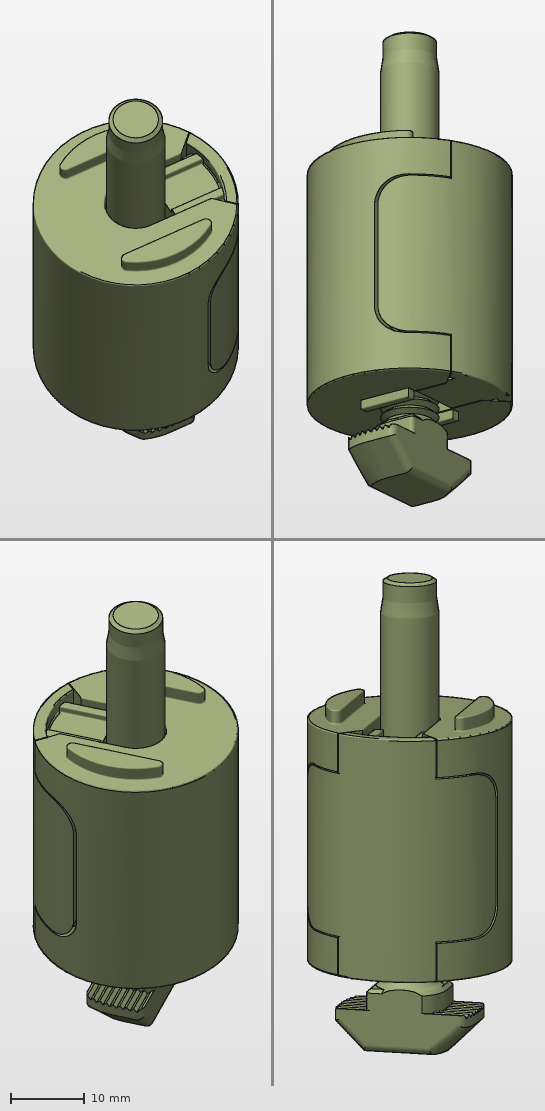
import cadquery as cq
import math


drum_radius = 14.0
drum_height = 34.0
edge_round = 0.2

slot_half_width = 4.2
flare_start = 5.1

pad_inner_x = 8.0
pad_outer_radius = 11.5
pad_corner_radius = 0.8
pad_height = 2.0

window_start_y = 3.95
window_height = 23.2
window_corner_radius = 4.3
window_gap = 0.2
wing_end_gap = 0.45

shell_inner_radius = 12.2
mouth_gap = 0.2
tongue_end_y = 4.15
tongue_half_width = 4.0
tongue_drop = 1.9
tongue_root_half_width = 4.8
rib_height = 0.9
rib_inner_x = 2.6
rib_outer_x = tongue_half_width

bar_center_x = 5.1
bar_width = 1.25
bar_length = 8.0
bar_height = 1.4

shank_radius = 4.0
bolt_top = 53.5
tip_radius = 3.7
tip_length = 2.75
tip_taper = 2.05
tip_chamfer_height = 0.4
tip_chamfer_width = 0.6

thread_root_radius = 3.2
thread_pitch = 1.25
thread_lowest_peak = -1.7
thread_peaks = 3

neck_bottom = -3.4
neck_top = -3.1
shoulder_radius = 5.1
shoulder_chamfer = 0.5
shoulder_corner_round = 0.6
head_half_depth = 4.3
head_half_length = 9.6
head_top = -6.4
overall_height = 65.75
head_bottom = bolt_top - overall_height
head_side_height = 1.8
head_bevel = 4.15
head_edge_round = 1.0
tooth_pitch = 1.0
teeth = 8
tooth_depth = tooth_pitch / 2
shoulder_bottom = head_top - tooth_depth

pick = 0.05


def box(x0, x1, y0, y1, z0, z1):
    return cq.Workplane("XY").box(x1 - x0, y1 - y0, z1 - z0, centered=False).translate((x0, y0, z0))


def make_drum():
    drum = cq.Workplane("XY").circle(drum_radius).extrude(drum_height)
    return drum.edges("%CIRCLE").fillet(edge_round)


def make_flare(offset):
    """Wedge of the space on the +Y side of both 45 degree flare planes, moved by offset along Y."""
    reach = 2 * drum_radius
    apex_y = flare_start + offset
    corners = [(0, apex_y), (reach, apex_y + reach), (-reach, apex_y + reach)]
    return cq.Workplane("XY").polyline(corners).close().extrude(drum_height)


def make_ring(inner_radius):
    """Everything outside a cylinder around the bolt axis."""
    return cq.Workplane("XY").circle(2 * drum_radius).circle(inner_radius).extrude(drum_height)


def make_window(end_y, height, corner_radius):
    """Round-cornered block along X that bounds the wings, or the window around them."""
    block = box(-drum_radius, drum_radius, end_y, end_y + 2 * drum_radius, 0, height)
    block = block.edges("|X and <Y").fillet(corner_radius)
    return block.translate((0, 0, (drum_height - height) / 2))


def make_pad(side):
    corner_y = math.sqrt(pad_outer_radius**2 - pad_inner_x**2)
    pad = (
        cq.Workplane("XY")
        .moveTo(side * pad_inner_x, -corner_y)
        .threePointArc((side * pad_outer_radius, 0), (side * pad_inner_x, corner_y))
        .close()
        .extrude(pad_height)
        .edges("|Z")
        .fillet(pad_corner_radius)
        .faces(">Z")
        .edges()
        .fillet(edge_round)
    )
    return pad.translate((0, 0, drum_height))


def make_housing():
    slot = cq.Workplane("XY").circle(slot_half_width).extrude(drum_height)
    slot = slot.union(box(-slot_half_width, slot_half_width, 0, drum_radius, 0, drum_height))
    slot = slot.union(make_flare(0))
    window = make_window(window_start_y, window_height, window_corner_radius)
    window = window.intersect(make_ring(shell_inner_radius - window_gap))

    housing = make_drum().cut(slot)
    rim = cq.selectors.BoxSelector(
        (-slot_half_width - pick, -slot_half_width - pick, drum_height - pick),
        (slot_half_width + pick, drum_radius / 2, drum_height + pick),
    )
    housing = housing.edges(rim).fillet(edge_round)
    housing = housing.cut(window)
    for side in (-1, 1):
        housing = housing.union(make_pad(side))
        foot = cq.selectors.BoxSelector(
            (side * (pad_inner_x - pick), -pad_outer_radius, drum_height - pick),
            (side * (pad_outer_radius + pick), pad_outer_radius, drum_height + pick),
            boundingbox=True,
        )
        housing = housing.edges(foot).fillet(edge_round)
    return housing


def make_clip():
    wings = make_window(
        window_start_y + wing_end_gap,
        window_height - 2 * window_gap,
        window_corner_radius - window_gap,
    )
    outline = make_flare(mouth_gap).union(wings)
    clip = make_drum().intersect(make_ring(shell_inner_radius)).intersect(outline)

    floor = drum_height - tongue_drop
    reach = (shell_inner_radius + drum_radius) / 2
    tongue = box(-tongue_half_width, tongue_half_width, tongue_end_y, reach, 0, floor)
    root = box(-tongue_root_half_width, tongue_root_half_width, tongue_end_y, reach, 0, floor)
    tongue = tongue.union(root.intersect(make_flare(0)))
    for x0 in (rib_inner_x, -rib_outer_x):
        x1 = x0 + rib_outer_x - rib_inner_x
        rib = box(x0, x1, tongue_end_y, reach, floor, floor + rib_height)
        tongue = tongue.union(rib.edges("|Y and >Z").fillet(edge_round))
    clip = clip.union(tongue)

    corners = cq.selectors.BoxSelector(
        (-rib_outer_x - pick, tongue_end_y + pick, floor - pick),
        (rib_outer_x + pick, reach, floor + pick),
    )
    clip = clip.edges(corners).fillet(edge_round)

    upper_edge = cq.selectors.RadiusNthSelector(0)
    return clip.faces(">Z").edges(upper_edge).fillet(edge_round)


def make_bar(side):
    bar = box(-bar_width / 2, bar_width / 2, -bar_length / 2, bar_length / 2, -bar_height, 0)
    bar = bar.faces("<Z").edges().fillet(edge_round)
    return bar.translate((side * bar_center_x, 0, 0))


def make_shank():
    tip_bottom = bolt_top - tip_length
    profile = [
        (0, bolt_top),
        (tip_radius - tip_chamfer_width, bolt_top),
        (tip_radius, bolt_top - tip_chamfer_height),
        (tip_radius, tip_bottom),
        (shank_radius, tip_bottom - tip_taper),
    ]
    for peak in reversed(range(thread_peaks)):
        peak_z = thread_lowest_peak + peak * thread_pitch
        profile.append((shank_radius, peak_z))
        profile.append((thread_root_radius, peak_z - thread_pitch / 2))
    neck_radius = shoulder_radius - shoulder_chamfer
    profile += [
        (shank_radius, neck_top),
        (neck_radius, neck_bottom),
        (shoulder_radius, neck_bottom - shoulder_chamfer),
        (shoulder_radius, shoulder_bottom),
        (0, shoulder_bottom),
    ]
    shank = cq.Workplane("XZ").polyline(profile).close().revolve(360, (0, 0), (0, 1))
    flats = box(
        -shoulder_radius, shoulder_radius, -head_half_depth, head_half_depth, shoulder_bottom, bolt_top
    )
    return shank.intersect(flats)


def make_shoulder_corner(side):
    """Square corner of the shoulder, at -X -Y for side -1 and at +X +Y for side 1."""
    corner = box(-shoulder_radius, 0, -head_half_depth, 0, shoulder_bottom, neck_bottom)
    corner = corner.edges("|Z and <X and <Y").fillet(shoulder_corner_round)
    corner = corner.faces(">Z").edges("not (>X or >Y)").chamfer(shoulder_chamfer)
    return corner if side < 0 else corner.rotate((0, 0, 0), (0, 0, 1), 180)


def make_head():
    side_bottom = head_top - head_side_height
    outline = [
        (0, head_top),
        (head_half_length, head_top),
        (head_half_length, side_bottom),
        (head_half_length - head_bevel, head_bottom),
        (0, head_bottom),
    ]
    head = cq.Workplane("XZ").polyline(outline).close().revolve(360, (0, 0), (0, 1))
    head = head.intersect(
        box(-head_half_length, head_half_length, -head_half_depth, head_half_depth, head_bottom, head_top)
    )
    square_quarter = cq.Workplane("XZ").polyline(outline).close().extrude(-head_half_depth)
    head = head.union(square_quarter)
    head = head.union(square_quarter.rotate((0, 0, 0), (0, 0, 1), 180))
    head = head.faces("<Y or >Y").edges("not >Z").fillet(head_edge_round)

    for i in range(teeth):
        y = (i - (teeth - 1) / 2) * tooth_pitch
        groove = (
            cq.Workplane("YZ")
            .polyline([
                (y - tooth_pitch / 2, head_top),
                (y, head_top - tooth_depth),
                (y + tooth_pitch / 2, head_top),
            ])
            .close()
            .extrude(head_half_length, both=True)
        )
        head = head.cut(groove)
    return head


def make_bolt():
    bolt = make_shank()
    for side in (-1, 1):
        bolt = bolt.union(make_shoulder_corner(side))
    return bolt.union(make_head())


housing = make_housing()
clip = make_clip()
bolt = make_bolt()
bars = [make_bar(side) for side in (-1, 1)]

result = cq.Compound.makeCompound([housing.val(), clip.val(), bolt.val(), *[bar.val() for bar in bars]])